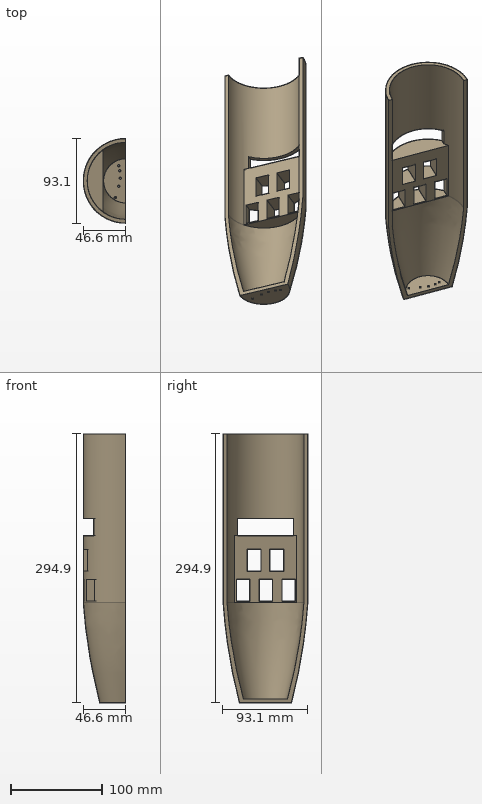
import cadquery as cq
import math


outer_radius = 46.55
wall = 4.35
total_height = 294.93
taper_height = 110.0
tip_radius = 28.6
taper_bulge = 2.6
floor_thickness = wall
floor_radius = 24.2

inner_radius = outer_radius - wall

block_face_x = -24.7
block_top = 183.4

display_width = 61.2
display_height = 18.6

button_pitch = 24.9
button_height = 24.0
upper_button_columns = 2
upper_button_width = 15.0
upper_button_base = 144.4
lower_button_columns = 3
lower_button_width = 14.3
lower_button_base = 111.5
upper_row_shift = 0.0
lower_row_shift = 0.4

wire_hole_diameter = 2.0
wire_hole_centres = [(-7.7, 16.5), (-6.5, 11.1), (-5.9, 3.0), (-7.7, -6.0), (-11.3, -18.2)]


def bulged_midpoint(start, end, bulge):
    """Crown of the arc that rises by `bulge` on the outward side of the chord."""
    chord_x = end[0] - start[0]
    chord_z = end[1] - start[1]
    length = math.hypot(chord_x, chord_z)
    middle_x = (start[0] + end[0]) / 2
    middle_z = (start[1] + end[1]) / 2
    return (middle_x + bulge * chord_z / length, middle_z - bulge * chord_x / length)


def round_body(base_radius, base_z, radius):
    """Full solid of revolution: an arced taper below a straight cylinder."""
    base = (base_radius, base_z)
    shoulder = (radius, taper_height)
    profile = (
        cq.Workplane("XZ")
        .moveTo(0, base_z)
        .lineTo(*base)
        .threePointArc(bulged_midpoint(base, shoulder, taper_bulge), shoulder)
        .lineTo(radius, total_height)
        .lineTo(0, total_height)
        .close()
    )
    return profile.revolve(360, (0, 0, 0), (0, 1, 0))


def box_between(x_start, x_end, width, centre_y, z_start, z_end):
    """Box given by its X and Z limits and its width about centre_y."""
    return (
        cq.Workplane("XY")
        .box(x_end - x_start, width, z_end - z_start, centered=(False, True, False))
        .translate((x_start, centre_y, z_start))
    )


def opening(width, height, centre_y, base_z):
    """Cutter running along X from outside the shell to the split plane."""
    return box_between(-outer_radius, 0, width, centre_y, base_z, base_z + height)


def cut_button_row(body, columns, width, base_z, shift):
    """Cut a row of equally pitched openings, centred on Y = shift."""
    first_y = shift - button_pitch * (columns - 1) / 2
    for column in range(columns):
        centre_y = first_y + column * button_pitch
        body = body.cut(opening(width, button_height, centre_y, base_z))
    return body


def wire_holes():
    """Pins that pierce the floor of the narrow end."""
    return (
        cq.Workplane("XY")
        .pushPoints(wire_hole_centres)
        .circle(wire_hole_diameter / 2)
        .extrude(floor_thickness)
    )


outer_body = round_body(tip_radius, 0, outer_radius)
block_envelope = box_between(
    -outer_radius, block_face_x, 2 * outer_radius, 0, taper_height, block_top
)
cavity = round_body(floor_radius, floor_thickness, inner_radius).cut(block_envelope)
kept_half = box_between(-outer_radius, 0, 2 * outer_radius, 0, 0, total_height)

result = outer_body.cut(cavity).intersect(kept_half)
result = result.cut(opening(display_width, display_height, 0, block_top))
result = cut_button_row(
    result, upper_button_columns, upper_button_width, upper_button_base, upper_row_shift
)
result = cut_button_row(
    result, lower_button_columns, lower_button_width, lower_button_base, lower_row_shift
)
result = result.cut(wire_holes())